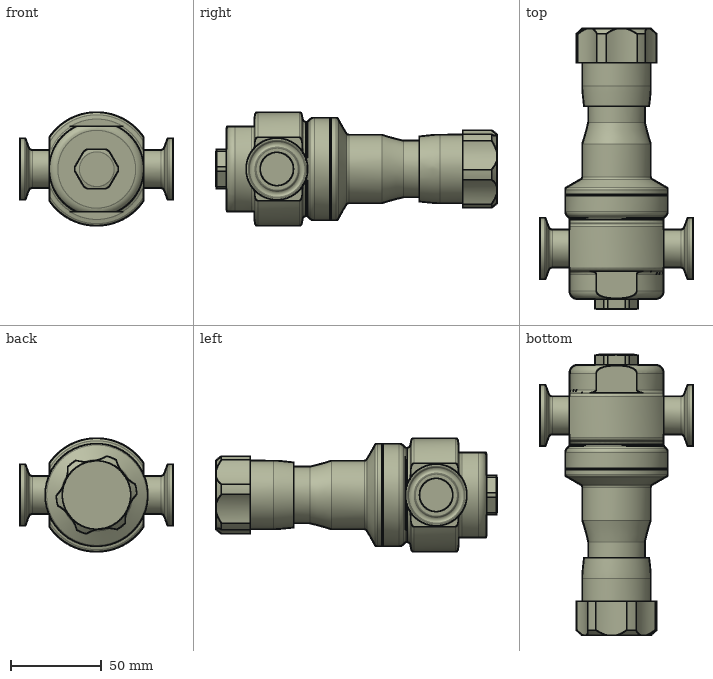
import math

import cadquery as cq


HEX_END_Y = -33.65
KNOB_END_Y = HEX_END_Y + 155.25
CAP_END_Y = -27.95
BODY_MID_Y = 0.85
RIM_FLARE_Y = 19.1
GAP_BOTTOM_Y = 29.25
GAP_TOP_Y = 29.95
RIM_TOP_Y = 33.4
SLEEVE_TOP_Y = 57.8
NECK_BOTTOM_Y = 69.75
GRIP_BOTTOM_Y = 78.6
GRIP_TAPER_Y = 90.0
KNOB_BOTTOM_Y = 102.55

CAP_RADIUS = 26.1
BODY_RADIUS = 62.87 / 2
RIM_RADIUS = 28.4
GAP_RADIUS = 25.1
SLEEVE_RADIUS = 19.05
NECK_RADIUS = 15.75
GRIP_LOW_RADIUS = 18.05

BODY_HALF_WIDTH = 12.75
BODY_FACE_SLOPE = math.radians(10)
BODY_ROUND = 1.65
BODY_FLAT_X = 26.1
CAP_FLAT_Z = 23.6
CAP_ROUND = 4.6
FLARE_ROUND = 3.4
FLARE_FOOT_ROUND = 1.0
BONNET_SLOPE = math.radians(60)
BONNET_ROUND = 1.35
SLEEVE_TAPER_SAG = 0.19
GRIP_TAPER_SAG = 0.2

HEX_ACROSS_FLATS = 21.9
HEX_CORNER_RADIUS = 12.0
HEX_END_RADIUS = 9.6
HEX_CHAMFER_HEIGHT = 0.5

KNOB_RADIUS = 22.2
KNOB_END_RADIUS = 18.9
KNOB_CHAMFER_HEIGHT = 3.0
KNOB_LOBES = 6
FIRST_LOBE_ANGLE = 52
LOBE_HALF_ANGLE = math.radians(7.25)
FLUTE_BOTTOM_RADIUS = 18.75

PORT_FACE_X = 84.66 / 2
TUBE_RADIUS = 10.6
BORE_RADIUS = 9.2
FLANGE_RADIUS = 17.05
FLANGE_EDGE = 3.1
FLANGE_SLOPE = math.radians(20)
FLANGE_RIM_ROUND = 0.8
TUBE_ROUND = 1.95
GROOVE_INNER_RADIUS = 11.95
GROOVE_OUTER_RADIUS = 15.65
GROOVE_BOTTOM_ROUND = 2.25
GROOVE_LIP_ROUND = 0.8


def point_toward(start, end, distance):
    """Point at a given distance from start on the way to end."""
    fraction = distance / math.dist(start, end)
    return tuple(a + (b - a) * fraction for a, b in zip(start, end))


def rounded_outline(corners):
    """Closed outline through (u, v, round) corners; a round of 0 leaves the corner sharp."""
    outline = None
    for index, (u, v, radius) in enumerate(corners):
        corner = (u, v)
        entry = corner
        if radius > 0:
            before = corners[index - 1][:2]
            after = corners[(index + 1) % len(corners)][:2]
            toward_before = point_toward(corner, before, 1)
            toward_after = point_toward(corner, after, 1)
            half_angle = math.asin(math.dist(toward_before, toward_after) / 2)
            setback = radius / math.tan(half_angle)
            bulge = radius / math.sin(half_angle) - radius
            middle = [(a + b) / 2 for a, b in zip(toward_before, toward_after)]
            entry = point_toward(corner, before, setback)
        outline = cq.Workplane("XY").moveTo(*entry) if outline is None else outline.lineTo(*entry)
        if radius > 0:
            leave = point_toward(corner, after, setback)
            outline = outline.threePointArc(point_toward(corner, middle, bulge), leave)
    return outline.close()


def revolve_about_y(outline):
    return outline.revolve(360, (0, 0, 0), (0, 1, 0))


def revolve_about_x(outline):
    return outline.revolve(360, (0, 0, 0), (1, 0, 0))


def prism_along_y(sketch_on_xz, start_y, end_y):
    """Extrude a sketch drawn on the XZ plane so that it spans start_y to end_y."""
    return sketch_on_xz.extrude(start_y - end_y).translate((0, start_y, 0))


def make_lower_housing():
    """Cap, body and rim as one turned piece, with the cap and body flats."""
    face_drop = (BODY_RADIUS - CAP_RADIUS) * math.tan(BODY_FACE_SLOPE)
    body_low_y = BODY_MID_Y - BODY_HALF_WIDTH
    body_high_y = BODY_MID_Y + BODY_HALF_WIDTH
    foot_low_y = body_low_y - face_drop
    foot_high_y = body_high_y + face_drop
    cap_flat_end_y = foot_low_y + BODY_ROUND * math.tan(BODY_FACE_SLOPE)
    flare_foot_y = RIM_FLARE_Y - (RIM_RADIUS - CAP_RADIUS)
    turned = revolve_about_y(rounded_outline([
        (0, CAP_END_Y, 0),
        (CAP_RADIUS, CAP_END_Y, CAP_ROUND),
        (CAP_RADIUS, foot_low_y, BODY_ROUND),
        (BODY_RADIUS, body_low_y, BODY_ROUND),
        (BODY_RADIUS, body_high_y, BODY_ROUND),
        (CAP_RADIUS, foot_high_y, BODY_ROUND),
        (CAP_RADIUS, flare_foot_y, FLARE_FOOT_ROUND),
        (RIM_RADIUS, RIM_FLARE_Y, FLARE_ROUND),
        (RIM_RADIUS, GAP_BOTTOM_Y, 0),
        (0, GAP_BOTTOM_Y, 0),
    ]))
    size = 2 * BODY_RADIUS
    for side in (-1, 1):
        body_cut = cq.Workplane("XZ").center(side * (BODY_FLAT_X + size / 2), 0).rect(size, size)
        turned = turned.cut(prism_along_y(body_cut, CAP_END_Y, flare_foot_y))
        cap_cut = cq.Workplane("XZ").center(0, side * (CAP_FLAT_Z + size / 2)).rect(size, size)
        turned = turned.cut(prism_along_y(cap_cut, CAP_END_Y, cap_flat_end_y))
    return turned


def make_bonnet():
    """Upper rim, cone and sleeve, above the narrow gap."""
    cone_height = (RIM_RADIUS - SLEEVE_RADIUS) / math.tan(BONNET_SLOPE)
    gap_core = revolve_about_y(rounded_outline([
        (0, RIM_FLARE_Y, 0),
        (GAP_RADIUS, RIM_FLARE_Y, 0),
        (GAP_RADIUS, RIM_TOP_Y, 0),
        (0, RIM_TOP_Y, 0),
    ]))
    bonnet = revolve_about_y(rounded_outline([
        (0, GAP_TOP_Y, 0),
        (RIM_RADIUS, GAP_TOP_Y, 0),
        (RIM_RADIUS, RIM_TOP_Y, BONNET_ROUND),
        (SLEEVE_RADIUS, RIM_TOP_Y + cone_height, BONNET_ROUND),
        (SLEEVE_RADIUS, SLEEVE_TOP_Y, 0),
        (0, SLEEVE_TOP_Y, 0),
    ]))
    return bonnet.union(gap_core)


def make_stem():
    """Hollow-curved taper, neck, bulging grip taper and grip cylinder."""
    sleeve_taper_mid = (
        (SLEEVE_RADIUS + NECK_RADIUS) / 2 - SLEEVE_TAPER_SAG,
        (SLEEVE_TOP_Y + NECK_BOTTOM_Y) / 2,
    )
    grip_taper_mid = (
        (GRIP_LOW_RADIUS + SLEEVE_RADIUS) / 2 + GRIP_TAPER_SAG,
        (GRIP_BOTTOM_Y + GRIP_TAPER_Y) / 2,
    )
    outline = (
        cq.Workplane("XY")
        .moveTo(0, SLEEVE_TOP_Y)
        .lineTo(SLEEVE_RADIUS, SLEEVE_TOP_Y)
        .threePointArc(sleeve_taper_mid, (NECK_RADIUS, NECK_BOTTOM_Y))
        .lineTo(NECK_RADIUS, GRIP_BOTTOM_Y)
        .lineTo(GRIP_LOW_RADIUS, GRIP_BOTTOM_Y)
        .threePointArc(grip_taper_mid, (SLEEVE_RADIUS, GRIP_TAPER_Y))
        .lineTo(SLEEVE_RADIUS, KNOB_BOTTOM_Y)
        .lineTo(0, KNOB_BOTTOM_Y)
        .close()
    )
    return revolve_about_y(outline)


def make_knob():
    """Six-lobed knob with hollow flutes and a chamfered end."""
    knob = revolve_about_y(rounded_outline([
        (0, KNOB_BOTTOM_Y, 0),
        (KNOB_RADIUS, KNOB_BOTTOM_Y, 0),
        (KNOB_RADIUS, KNOB_END_Y - KNOB_CHAMFER_HEIGHT, 0),
        (KNOB_END_RADIUS, KNOB_END_Y, 0),
        (0, KNOB_END_Y, 0),
    ]))
    lobe_pitch = 360 / KNOB_LOBES
    flute_half_angle = math.radians(lobe_pitch / 2) - LOBE_HALF_ANGLE
    half_chord = KNOB_RADIUS * math.sin(flute_half_angle)
    sag = KNOB_RADIUS * math.cos(flute_half_angle) - FLUTE_BOTTOM_RADIUS
    flute_radius = (half_chord ** 2 + sag ** 2) / (2 * sag)
    flute_distance = FLUTE_BOTTOM_RADIUS + flute_radius
    for lobe in range(KNOB_LOBES):
        angle = math.radians(FIRST_LOBE_ANGLE + (lobe + 0.5) * lobe_pitch)
        center = (flute_distance * math.cos(angle), flute_distance * math.sin(angle))
        flute = cq.Workplane("XZ").center(*center).circle(flute_radius)
        knob = knob.cut(prism_along_y(flute, KNOB_BOTTOM_Y, KNOB_END_Y))
    return knob


def make_hex_plug():
    """Hex head with turned-off corners and a shallow end chamfer."""
    across_corners = HEX_ACROSS_FLATS / math.cos(math.radians(30))
    hexagon = cq.Workplane("XZ").polygon(6, across_corners)
    envelope = revolve_about_y(rounded_outline([
        (0, HEX_END_Y, 0),
        (HEX_END_RADIUS, HEX_END_Y, 0),
        (HEX_CORNER_RADIUS, HEX_END_Y + HEX_CHAMFER_HEIGHT, 0),
        (HEX_CORNER_RADIUS, CAP_END_Y, 0),
        (0, CAP_END_Y, 0),
    ]))
    return prism_along_y(hexagon, HEX_END_Y, CAP_END_Y).intersect(envelope)


def make_port():
    """Clamp ferrule on the +X side, bored down to the plane of the body flat."""
    cone_x = PORT_FACE_X - FLANGE_EDGE
    tube_end_x = cone_x - (FLANGE_RADIUS - TUBE_RADIUS) * math.tan(FLANGE_SLOPE)
    groove_mid_radius = (GROOVE_INNER_RADIUS + GROOVE_OUTER_RADIUS) / 2
    groove_vee_x = PORT_FACE_X - (GROOVE_OUTER_RADIUS - GROOVE_INNER_RADIUS) / 2
    return revolve_about_x(rounded_outline([
        (BODY_FLAT_X, BORE_RADIUS, 0),
        (BODY_FLAT_X, TUBE_RADIUS, 0),
        (tube_end_x, TUBE_RADIUS, TUBE_ROUND),
        (cone_x, FLANGE_RADIUS, FLANGE_RIM_ROUND),
        (PORT_FACE_X, FLANGE_RADIUS, 0),
        (PORT_FACE_X, GROOVE_OUTER_RADIUS, GROOVE_LIP_ROUND),
        (groove_vee_x, groove_mid_radius, GROOVE_BOTTOM_ROUND),
        (PORT_FACE_X, GROOVE_INNER_RADIUS, GROOVE_LIP_ROUND),
        (PORT_FACE_X, BORE_RADIUS, 0),
    ]))


port = make_port()
result = (
    make_lower_housing()
    .union(make_bonnet())
    .union(make_stem())
    .union(make_knob())
    .union(make_hex_plug())
    .union(port)
    .union(port.mirror("YZ"))
)